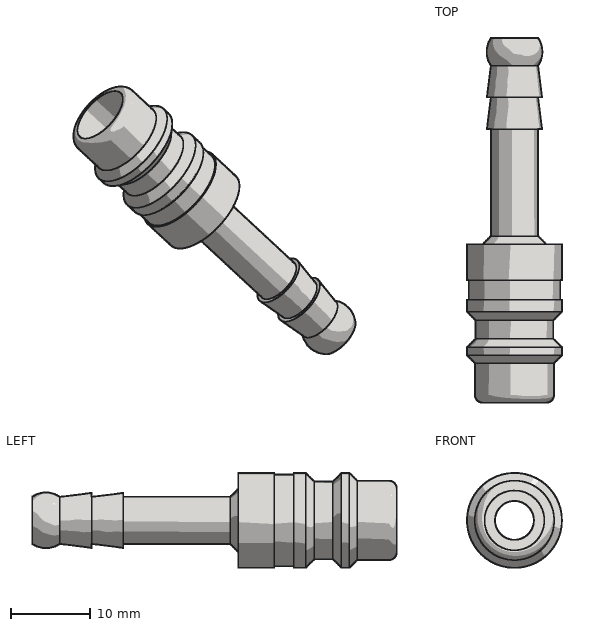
import cadquery as cq

length = 46.0

body_radius = 6.005
plug_radius = 5.0
mouth_round = 1.0
collar_start = 5.0
collar_rim_start = 6.0
collar_rim_end = 7.0
neck_radius = 4.9
neck_start = collar_rim_end + body_radius - neck_radius
neck_end = 10.4
body_start = 11.5

groove_radius = 5.8
groove_start = 13.0
groove_end = 15.45
body_end = 20.0

stem_radius = 3.0
cone_radius = 4.0
cone_end = body_end + cone_radius - stem_radius

barb_radius = 3.5
barb_root_radius = stem_radius
barb_start = 34.5
barb_length = 4.0
barb_count = 2

bulb_radius = 3.55
bulb_start = barb_start + barb_count * barb_length

bore_radius = 2.45
mouth_bore_radius = 3.75
mouth_bore_depth = 15.0


def outer_profile():
    """Half section from the axis, as (radius, y) points."""
    half_diagonal = mouth_round * 0.5 ** 0.5
    profile = (
        cq.Workplane("XY")
        .lineTo(plug_radius - mouth_round, 0)
        .threePointArc(
            (plug_radius - mouth_round + half_diagonal, mouth_round - half_diagonal),
            (plug_radius, mouth_round),
        )
        .lineTo(plug_radius, collar_start)
        .lineTo(body_radius, collar_rim_start)
        .lineTo(body_radius, collar_rim_end)
        .lineTo(neck_radius, neck_start)
        .lineTo(neck_radius, neck_end)
        .lineTo(body_radius, body_start)
        .lineTo(body_radius, groove_start)
        .lineTo(groove_radius, groove_start)
        .lineTo(groove_radius, groove_end)
        .lineTo(body_radius, groove_end)
        .lineTo(body_radius, body_end)
        .lineTo(cone_radius, body_end)
        .lineTo(stem_radius, cone_end)
        .lineTo(stem_radius, barb_start)
    )
    for index in range(barb_count):
        barb_base = barb_start + index * barb_length
        profile = (
            profile
            .lineTo(barb_radius, barb_base)
            .lineTo(barb_root_radius, barb_base + barb_length)
        )
    return (
        profile
        .threePointArc((bulb_radius, (bulb_start + length) / 2), (barb_root_radius, length))
        .lineTo(0, length)
        .close()
    )


def bore(radius, depth):
    """Cylinder running inwards from the plug mouth."""
    return cq.Workplane("XZ").circle(radius).extrude(-depth)


body = outer_profile().revolve(360, (0, 0, 0), (0, 1, 0))
result = body.cut(bore(bore_radius, length)).cut(bore(mouth_bore_radius, mouth_bore_depth))